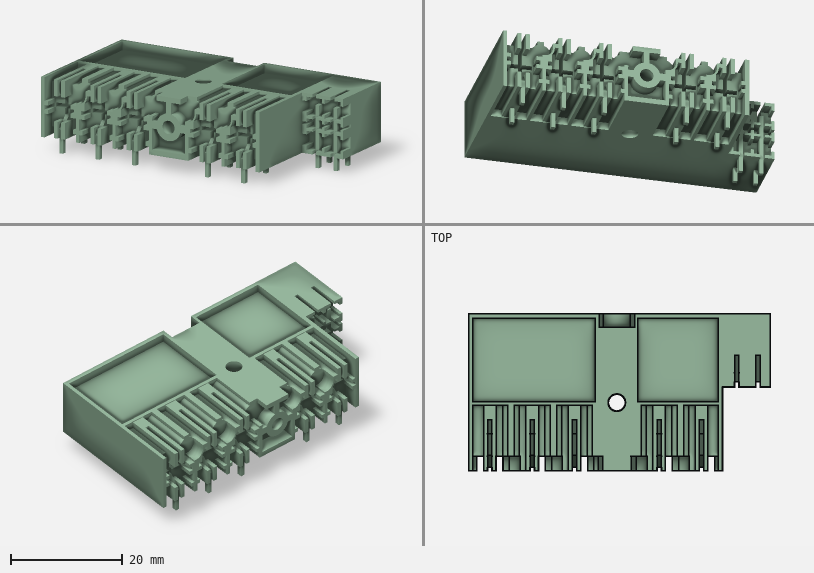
import cadquery as cq
import math

TOTAL_LENGTH = 54.3
BODY_DEPTH = 28.3
BODY_HEIGHT = 11.3
MAIN_LENGTH = 45.75
PITCH = MAIN_LENGTH / 6
PIN_DROP = 2.7
LEFT_WALL = 0.7
RIGHT_WALL = 0.8
REAR_WALL = 0.8

CENTER_X = 3 * PITCH + PITCH / 2
MID_Z = BODY_HEIGHT / 2
CONTACT_XS = [PITCH * (i + 0.5) for i in (0, 1, 2, 4, 5)]
DIVIDER_XS = [PITCH * i for i in (1, 2, 5)]
SCREW_POST_LEFT = 3 * PITCH
SCREW_POST_RIGHT = 4 * PITCH

RECESS_DEPTH = 2.6
CHANNEL_END = 11.8
CHANNEL_HEIGHT = 1.45
CORE_TOP = BODY_HEIGHT - CHANNEL_HEIGHT

BLOCK_HALF_WIDTH = 1.15
BLOCK_INSET = 0.15
BLOCK_HEIGHT = 3.1
BLADE_WIDTH = 0.75
BLADE_FRONT = 0.6
BLADE_RAMP_START_Z = 1.8
BLADE_RAMP_END_Y = 2.75
BLADE_SHELF_Z = 4.1
CROSS_SLOT_HALF_WIDTH = 2.2
CROSS_SLOT_HALF_HEIGHT = 0.41
CROSS_SLOT_END = 6.7
BLADE_SLOT_END = 9.2
PIN_DEPTH = 1.0

RIB_HALF_WIDTH = 0.6
POST_HALF_WIDTH = 0.3
HEAD_REACH = 1.45
HEAD_HALF_HEIGHT = 1.2
GROOVE_REACH = 3.1
FOOT_REACH = 1.0
FOOT_HEIGHT = 0.8
CRADLE_Z = 8.85
BUMP_HALF_WIDTH = 1.5
BUMP_RADIUS = math.hypot(BUMP_HALF_WIDTH, CORE_TOP - CRADLE_Z)
CRADLE_INNER_RADIUS = 1.65
CRADLE_OUTER_RADIUS = 1.95
CRADLE_ARM = 0.8
CRADLE_ROUND_LEAD = 0.25
SHOULDER_REACH = 0.45

BOSS_RADIUS = 2.55
BOSS_HOLE_RADIUS = 1.25
BOSS_HOLE_DEPTH = 6.5
BOSS_WEB_HALF_HEIGHT = 0.7
BOSS_NECK_HALF_WIDTH = 0.55
BOSS_PLATE_HALF_WIDTH = 2.55
FRAME_THICKNESS = 1.0

POCKET_DEPTH = 1.7
POCKET_FRONT = 12.45
POCKET_BACK = BODY_DEPTH - REAR_WALL
LEFT_POCKET_END = 22.75
RIGHT_POCKET_START = 30.4
SCREW_HOLE_Y = 12.3
SCREW_HOLE_RADIUS = 1.5
NOTCH_HALF_WIDTH = 3.2
NOTCH_DEPTH = 2.45

MODULE_FRONT = 15.05
MODULE_CAVITY_DEPTH = 2.6
MODULE_CENTER_X = 50.2
MODULE_CAVITY_HALF_WIDTH = 3.55
TOOTH_HALF_WIDTH = 0.25
UPPER_CAVITY = (1.4, 5.0, 2.05, 4.2)
MIDDLE_CAVITY = (-0.9, 0.9, -0.25, 0.25)
LOWER_CAVITY = (-5.0, -1.4, -4.2, -2.05)
MODULE_BLADE_FRONT = 16.0
MODULE_BLADE_END = 20.8
MODULE_BLADE_TOP = 9.0
MODULE_PIN_DEPTH = 0.8
MODULE_BLADE_SPACING = PITCH / 2


def block(x0, x1, y0, y1, z0, z1):
    """Box between two opposite corners."""
    return cq.Workplane("XY").box(x1 - x0, y1 - y0, z1 - z0, centered=False).translate((x0, y0, z0))


def cylinder_y(x, z, radius, y0, y1):
    """Cylinder lying along Y."""
    return cq.Workplane("XZ", origin=(x, y0, z)).circle(radius).extrude(y0 - y1)


def front_part(x0, x1, z0, z1):
    """Box filling the depth of the open zone at the mating face."""
    return block(x0, x1, 0, RECESS_DEPTH, z0, z1)


def housing():
    """L-shaped shell with the mating zone and the channels cleared out."""
    shell = block(0, MAIN_LENGTH, 0, BODY_DEPTH, 0, BODY_HEIGHT)
    shell = shell.union(block(MAIN_LENGTH, TOTAL_LENGTH, MODULE_FRONT, BODY_DEPTH, 0, BODY_HEIGHT))
    x0 = LEFT_WALL
    x1 = MAIN_LENGTH - RIGHT_WALL
    shell = shell.cut(front_part(x0, x1, 0, BODY_HEIGHT))
    shell = shell.cut(block(x0, x1, 0, CHANNEL_END, CORE_TOP, BODY_HEIGHT))
    return shell.cut(block(x0, x1, 0, CHANNEL_END, 0, CHANNEL_HEIGHT))


def rib(x0, x1):
    """Rib above the core and the narrower post rib below it."""
    top = block(x0 - RIB_HALF_WIDTH, x1 + RIB_HALF_WIDTH, RECESS_DEPTH, CHANNEL_END, CORE_TOP, BODY_HEIGHT)
    inset = POST_HALF_WIDTH
    bottom = block(x0 - inset, x1 + inset, RECESS_DEPTH, CHANNEL_END, 0, CHANNEL_HEIGHT)
    return top.union(bottom)


def bump(x):
    """Round rise beside a rib, running along the core."""
    return cylinder_y(x, CRADLE_Z, BUMP_RADIUS, RECESS_DEPTH, CHANNEL_END)


def post(x):
    """Upright post of a divider in front of the core."""
    return front_part(x - POST_HALF_WIDTH, x + POST_HALF_WIDTH, 0, MID_Z + HEAD_HALF_HEIGHT)


def head_and_foot(x, side):
    """Head at middle height and foot near the bottom; side is -1 for left, 1 for right."""
    head_end = x + side * HEAD_REACH
    foot_end = x + side * FOOT_REACH
    head = front_part(min(x, head_end), max(x, head_end), MID_Z - HEAD_HALF_HEIGHT, MID_Z + HEAD_HALF_HEIGHT)
    foot = front_part(min(x, foot_end), max(x, foot_end), CHANNEL_HEIGHT, CHANNEL_HEIGHT + FOOT_HEIGHT)
    return head.union(foot)


def shoulder(x):
    """Low step on the left screw post: the start of a cradle that runs out into a flat."""
    z0 = MID_Z + HEAD_HALF_HEIGHT
    z1 = CRADLE_Z - CRADLE_INNER_RADIUS
    drop = math.sqrt(CRADLE_INNER_RADIUS**2 - POST_HALF_WIDTH**2)
    round_start = front_part(x - POST_HALF_WIDTH, x, z0, CRADLE_Z - drop)
    round_start = round_start.cut(cylinder_y(x, CRADLE_Z, CRADLE_INNER_RADIUS, 0, RECESS_DEPTH))
    return round_start.union(front_part(x, x + SHOULDER_REACH, z0, z1))


def cradle(x, round_start):
    """Quarter-round cradle that rises to the right and joins the next contact block.

    A flat leads from the left side of the post to the start of the round, given as an offset from x.
    """
    ri = CRADLE_INNER_RADIUS
    ro = CRADLE_OUTER_RADIUS
    bend = math.sqrt(0.5)
    left = -POST_HALF_WIDTH
    base = MID_Z + HEAD_HALF_HEIGHT - CRADLE_Z
    arm_top = CORE_TOP - CRADLE_Z
    arm_bottom = arm_top - CRADLE_ARM
    block_side = PITCH / 2 - BLOCK_HALF_WIDTH
    outer_angle = math.acos(HEAD_REACH / ro)
    outer_mid = (ro * math.cos(outer_angle / 2), -ro * math.sin(outer_angle / 2))
    profile = (
        cq.Workplane("XZ", origin=(x, 0, CRADLE_Z))
        .moveTo(left, base)
        .lineTo(left, -math.sqrt(ri**2 - round_start**2))
        .lineTo(round_start, -math.sqrt(ri**2 - round_start**2))
        .threePointArc((ri * bend, -ri * bend), (ri, 0))
        .lineTo(ri, arm_top)
        .lineTo(block_side, arm_top)
        .lineTo(block_side, arm_bottom)
        .lineTo(ro, arm_bottom)
        .lineTo(ro, 0)
        .threePointArc(outer_mid, (HEAD_REACH, -ro * math.sin(outer_angle)))
        .lineTo(HEAD_REACH, base)
        .close()
    )
    return profile.extrude(-RECESS_DEPTH)


def wall_holders():
    """Small ledges on both end walls, opposite the divider heads."""
    z0 = MID_Z - HEAD_HALF_HEIGHT
    z1 = MID_Z + HEAD_HALF_HEIGHT
    left = front_part(LEFT_WALL, HEAD_REACH, z0, z1)
    return left.union(front_part(MAIN_LENGTH - HEAD_REACH, MAIN_LENGTH - RIGHT_WALL, z0, z1))


def screw_mount():
    """Boss with web, neck and top plate above an open frame."""
    mount = cylinder_y(CENTER_X, MID_Z, BOSS_RADIUS, 0, RECESS_DEPTH)
    web = BOSS_WEB_HALF_HEIGHT
    mount = mount.union(front_part(SCREW_POST_LEFT, SCREW_POST_RIGHT, MID_Z - web, MID_Z + web))
    mount = mount.union(front_part(SCREW_POST_LEFT, SCREW_POST_RIGHT, 0, FRAME_THICKNESS))
    neck = BOSS_NECK_HALF_WIDTH
    mount = mount.union(front_part(CENTER_X - neck, CENTER_X + neck, MID_Z + web, BODY_HEIGHT))
    plate = BOSS_PLATE_HALF_WIDTH
    plate_z = BODY_HEIGHT - FRAME_THICKNESS
    return mount.union(front_part(CENTER_X - plate, CENTER_X + plate, plate_z, BODY_HEIGHT))


def contact_blocks(x):
    """Upper and lower block around one contact, with the blade between them."""
    x0 = x - BLOCK_HALF_WIDTH
    x1 = x + BLOCK_HALF_WIDTH
    low = BLOCK_INSET
    high = BODY_HEIGHT - BLOCK_INSET
    blocks = block(x0, x1, 0, CHANNEL_END, low, low + BLOCK_HEIGHT)
    blocks = blocks.union(block(x0, x1, 0, CHANNEL_END, high - BLOCK_HEIGHT, high))
    blade_x = x - BLADE_WIDTH / 2
    blade = block(blade_x, blade_x + BLADE_WIDTH, BLADE_FRONT, BLADE_RAMP_END_Y, 0, BLADE_SHELF_Z)
    return blocks.union(blade)


def blade_slot(x):
    """Stepped slot for one blade; its lower front slopes back like a ramp."""
    outline = [
        (0, 0),
        (BLADE_FRONT, 0),
        (BLADE_FRONT, BLADE_RAMP_START_Z),
        (BLADE_RAMP_END_Y, BLADE_SHELF_Z),
        (CROSS_SLOT_END, BLADE_SHELF_Z),
        (CROSS_SLOT_END, MID_Z + CROSS_SLOT_HALF_HEIGHT),
        (BLADE_SLOT_END, MID_Z + CROSS_SLOT_HALF_HEIGHT),
        (BLADE_SLOT_END, BODY_HEIGHT),
        (0, BODY_HEIGHT),
    ]
    start = x - BLADE_WIDTH / 2
    return cq.Workplane("YZ", origin=(start, 0, 0)).polyline(outline).close().extrude(BLADE_WIDTH)


def cross_slot(x):
    """Flat slot in the core plus the matching edge grooves of the heads."""
    z0 = MID_Z - CROSS_SLOT_HALF_HEIGHT
    z1 = MID_Z + CROSS_SLOT_HALF_HEIGHT
    slot = block(x - CROSS_SLOT_HALF_WIDTH, x + CROSS_SLOT_HALF_WIDTH, 0, CROSS_SLOT_END, z0, z1)
    return slot.union(front_part(x - GROOVE_REACH, x + GROOVE_REACH, z0, z1))


def solder_pin(x, y, depth):
    """Rectangular pin below the body, rooted in the contact blocks."""
    return block(x - BLADE_WIDTH / 2, x + BLADE_WIDTH / 2, y, y + depth, -PIN_DROP, BLOCK_INSET)


def top_pocket(x0, x1):
    """Shallow rectangular pocket in the top face."""
    return block(x0, x1, POCKET_FRONT, POCKET_BACK, BODY_HEIGHT - POCKET_DEPTH, BODY_HEIGHT)


def rear_notch():
    """Notch in the rear edge that leaves a round boss and its side webs."""
    x0 = CENTER_X - NOTCH_HALF_WIDTH
    x1 = CENTER_X + NOTCH_HALF_WIDTH
    y0 = BODY_DEPTH - NOTCH_DEPTH
    notch = block(x0, x1, y0, BODY_DEPTH, MID_Z + BOSS_WEB_HALF_HEIGHT, BODY_HEIGHT)
    return notch.cut(cylinder_y(CENTER_X, MID_Z, BOSS_RADIUS, y0, BODY_DEPTH))


def module_cavity(tall_low, tall_high, band_low, band_high):
    """Cavity in the module front: a band open to the side, with a tall part on each side of a tooth."""
    y0 = MODULE_FRONT
    y1 = MODULE_FRONT + MODULE_CAVITY_DEPTH
    cavity = block(MAIN_LENGTH, TOTAL_LENGTH, y0, y1, MID_Z + band_low, MID_Z + band_high)
    for side in (-1, 1):
        edges = (
            MODULE_CENTER_X + side * TOOTH_HALF_WIDTH,
            MODULE_CENTER_X + side * MODULE_CAVITY_HALF_WIDTH,
        )
        cavity = cavity.union(block(min(edges), max(edges), y0, y1, MID_Z + tall_low, MID_Z + tall_high))
    return cavity


result = housing()

for divider_x in DIVIDER_XS:
    result = result.union(rib(divider_x, divider_x)).union(bump(divider_x))
    result = result.union(post(divider_x)).union(cradle(divider_x, -CRADLE_ROUND_LEAD))
    result = result.union(head_and_foot(divider_x, -1)).union(head_and_foot(divider_x, 1))

result = result.union(rib(SCREW_POST_LEFT, SCREW_POST_RIGHT)).union(screw_mount())
result = result.union(shoulder(SCREW_POST_LEFT)).union(cradle(SCREW_POST_RIGHT, 0))
for post_x, outward in ((SCREW_POST_LEFT, -1), (SCREW_POST_RIGHT, 1)):
    result = result.union(bump(post_x)).union(post(post_x)).union(head_and_foot(post_x, outward))
result = result.union(wall_holders())

for contact_x in CONTACT_XS:
    result = result.union(contact_blocks(contact_x))
    result = result.cut(cross_slot(contact_x)).cut(blade_slot(contact_x))
    for pin_y in (BLADE_FRONT, BLADE_SLOT_END - PIN_DEPTH):
        result = result.union(solder_pin(contact_x, pin_y, PIN_DEPTH))

result = result.cut(cylinder_y(CENTER_X, MID_Z, BOSS_HOLE_RADIUS, 0, BOSS_HOLE_DEPTH))
screw_hole = cq.Workplane("XY", origin=(CENTER_X, SCREW_HOLE_Y, 0)).circle(SCREW_HOLE_RADIUS)
result = result.cut(screw_hole.extrude(BODY_HEIGHT))
result = result.cut(top_pocket(LEFT_WALL, LEFT_POCKET_END))
result = result.cut(top_pocket(RIGHT_POCKET_START, MAIN_LENGTH - RIGHT_WALL))
result = result.cut(rear_notch())

for cavity_heights in (UPPER_CAVITY, MIDDLE_CAVITY, LOWER_CAVITY):
    result = result.cut(module_cavity(*cavity_heights))

for side in (-1, 1):
    blade_center = MODULE_CENTER_X + side * MODULE_BLADE_SPACING / 2
    blade_left = blade_center - BLADE_WIDTH / 2
    blade_right = blade_center + BLADE_WIDTH / 2
    result = result.cut(block(blade_left, blade_right, MODULE_FRONT, MODULE_BLADE_END, 0, BODY_HEIGHT))
    result = result.union(
        block(blade_left, blade_right, MODULE_BLADE_FRONT, MODULE_BLADE_END, 0, MODULE_BLADE_TOP)
    )
    for pin_y in (MODULE_BLADE_FRONT, MODULE_BLADE_END - MODULE_PIN_DEPTH):
        result = result.union(solder_pin(blade_center, pin_y, MODULE_PIN_DEPTH))